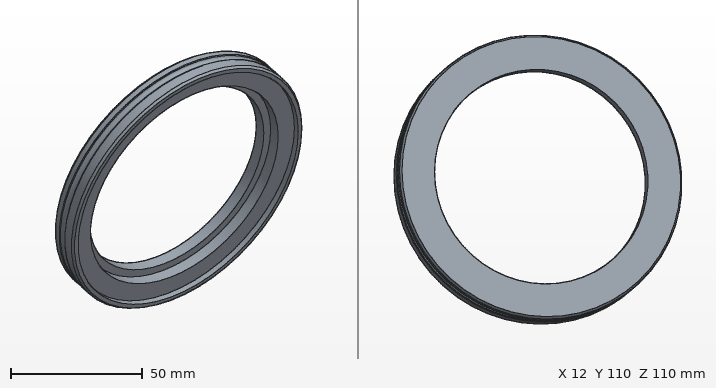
import cadquery as cq

width = 12.0
outer_radius = 110 / 2

bore_radius = 83.0 / 2
middle_bore_radius = 89.5 / 2
rear_bore_radius = 105.0 / 2
middle_bore_start = 4.8
rear_bore_start = 9.6

chamfer_length = 1.0
chamfer_depth = 0.8

groove_center = 5.1
groove_width = 3.5
groove_depth = 1.5
groove_lip = 0.3

front = -width / 2
rear = width / 2
rim_radius = outer_radius - chamfer_depth

groove_x = front + groove_center
groove_front = groove_x - groove_width / 2
groove_rear = groove_x + groove_width / 2
lip_radius = outer_radius - groove_lip

profile = (
    cq.Workplane("XY")
    .moveTo(front, bore_radius)
    .lineTo(front, rim_radius)
    .lineTo(front + chamfer_length, outer_radius)
    .lineTo(groove_front, outer_radius)
    .lineTo(groove_front + groove_lip, lip_radius)
    .threePointArc(
        (groove_x, outer_radius - groove_depth),
        (groove_rear - groove_lip, lip_radius),
    )
    .lineTo(groove_rear, outer_radius)
    .lineTo(rear - chamfer_length, outer_radius)
    .lineTo(rear, rim_radius)
    .lineTo(rear, rear_bore_radius)
    .lineTo(front + rear_bore_start, rear_bore_radius)
    .lineTo(front + rear_bore_start, middle_bore_radius)
    .lineTo(front + middle_bore_start, middle_bore_radius)
    .lineTo(front + middle_bore_start, bore_radius)
    .close()
)

result = profile.revolve(360, (0, 0, 0), (1, 0, 0))